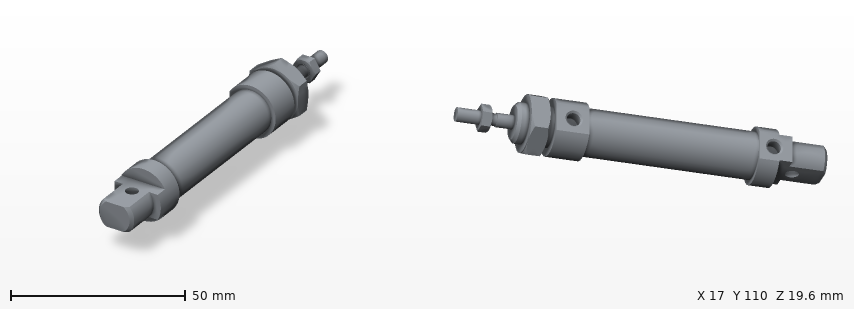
import cadquery as cq
import math


ROD_TIP_Y = 110.0
ROD_NUT_FRONT_Y = 103.0
ROD_NUT_BACK_Y = 100.0
UNDERCUT_BACK_Y = 98.0
COLLAR_FRONT_Y = 93.0
BODY_NUT_FRONT_Y = 89.8
BODY_NUT_BACK_Y = 84.0
FRONT_CAP_FRONT_Y = 82.1
FRONT_CAP_BACK_Y = 72.2
REAR_CAP_FRONT_Y = 21.1
REAR_CAP_SHOULDER_Y = 15.1
REAR_CAP_BACK_Y = 11.2

CAP_DIAMETER = 17.0
BARREL_DIAMETER = 14.1
COLLAR_DIAMETER = 12.1
END_CHAMFER = 1.0
PORT_FLAT_WIDTH = 8.8
PORT_FLAT_X = -math.sqrt((CAP_DIAMETER / 2) ** 2 - (PORT_FLAT_WIDTH / 2) ** 2)

TONGUE_DIAMETER = COLLAR_DIAMETER
TONGUE_THICKNESS = 8.2
PIVOT_HOLE_DIAMETER = 4.1
PIVOT_HOLE_Y = 9.1

PORT_DIAMETER = 4.1
PORT_MOUTH_DIAMETER = 5.2
PORT_DEPTH = 4.0
PORT_CHAMFER = (PORT_MOUTH_DIAMETER - PORT_DIAMETER) / 2
PORT_YS = (76.7, 16.5)

ROD_DIAMETER = 4.2
UNDERCUT_DIAMETER = 3.6

HEXAGON_FLATS_TO_CORNERS = math.cos(math.pi / 6)
ROD_NUT_CORNERS = 8.1
BODY_NUT_CORNERS = 19.6
NUT_CHAMFER_SLOPE = 0.6
ROD_NUT_BORE_CHAMFER = 0.2
ROUND_FACE_HEIGHT = 0.2
CORNERS_UP_TURN = 30
CORNERS_SIDEWAYS_TURN = 0


def cylinder(diameter, start_y, end_y):
    """Solid cylinder on the Y axis between two stations."""
    plane = cq.Workplane("XZ", origin=(0, start_y, 0))
    return plane.circle(diameter / 2).extrude(start_y - end_y)


def slab(thickness, start_y, end_y):
    """Plate centred on Z = 0, wider than the caps, between two stations."""
    length = end_y - start_y
    plate = cq.Workplane("XY").box(2 * CAP_DIAMETER, length, thickness)
    return plate.translate((0, start_y + length / 2, 0))


def make_port(port_y):
    """Cutter for one blind air port with a chamfered mouth."""
    plane = cq.Workplane("YZ", origin=(PORT_FLAT_X, port_y, 0))
    bore = plane.circle(PORT_DIAMETER / 2).extrude(PORT_DEPTH)
    mouth = cq.Solid.makeCone(
        PORT_MOUTH_DIAMETER / 2,
        PORT_DIAMETER / 2,
        PORT_CHAMFER,
        pnt=cq.Vector(PORT_FLAT_X, port_y, 0),
        dir=cq.Vector(1, 0, 0),
    )
    return bore.union(cq.Workplane(mouth))


def make_clevis():
    """Full-width plate behind the rear cap and the rounded tongue with its pivot hole."""
    plate = cylinder(CAP_DIAMETER, REAR_CAP_BACK_Y, REAR_CAP_SHOULDER_Y)
    tongue = cylinder(TONGUE_DIAMETER, 0, REAR_CAP_BACK_Y).faces("<Y").chamfer(END_CHAMFER)
    pivot_hole = (
        cq.Workplane("XY")
        .center(0, PIVOT_HOLE_Y)
        .circle(PIVOT_HOLE_DIAMETER / 2)
        .extrude(TONGUE_THICKNESS, both=True)
    )
    return plate.union(tongue).intersect(slab(TONGUE_THICKNESS, 0, REAR_CAP_SHOULDER_Y)).cut(pivot_hole)


def make_housing():
    """Barrel, both caps, the nose collar and the clevis, with the air ports."""
    barrel = cylinder(BARREL_DIAMETER, REAR_CAP_FRONT_Y, FRONT_CAP_BACK_Y)
    front_cap = cylinder(CAP_DIAMETER, FRONT_CAP_BACK_Y, FRONT_CAP_FRONT_Y)
    collar = cylinder(COLLAR_DIAMETER, FRONT_CAP_FRONT_Y, COLLAR_FRONT_Y).faces(">Y").chamfer(END_CHAMFER)
    rear_cap = cylinder(CAP_DIAMETER, REAR_CAP_SHOULDER_Y, REAR_CAP_FRONT_Y)

    housing = barrel.union(front_cap).union(collar).union(rear_cap).union(make_clevis())

    flat_cutter = (
        cq.Workplane("XY")
        .box(CAP_DIAMETER, ROD_TIP_Y, 2 * CAP_DIAMETER)
        .translate((PORT_FLAT_X - CAP_DIAMETER / 2, ROD_TIP_Y / 2, 0))
    )
    housing = housing.cut(flat_cutter)
    for port_y in PORT_YS:
        housing = housing.cut(make_port(port_y))
    return housing


def make_rod():
    """Piston rod from the collar face to the tip, with an undercut behind the thread."""
    shank = cylinder(ROD_DIAMETER, COLLAR_FRONT_Y, UNDERCUT_BACK_Y)
    undercut = cylinder(UNDERCUT_DIAMETER, UNDERCUT_BACK_Y, ROD_NUT_BACK_Y)
    thread = cylinder(ROD_DIAMETER, ROD_NUT_BACK_Y, ROD_TIP_Y)
    return shank.union(undercut).union(thread)


def make_nut(corner_diameter, bore_diameter, back_y, front_y, turn, chamfered_ends):
    """Hexagon nut turned about Y, its corners cut by a cone on the selected end faces."""
    plane = cq.Workplane("XZ", origin=(0, back_y, 0)).transformed(rotate=(0, 0, turn))
    hexagon = plane.polygon(6, corner_diameter).extrude(back_y - front_y)

    cone_width = corner_diameter * (1 - HEXAGON_FLATS_TO_CORNERS) / 2
    cone_length = cone_width * NUT_CHAMFER_SLOPE
    blank = cylinder(corner_diameter, back_y, front_y)
    envelope = blank.faces(chamfered_ends).chamfer(cone_length, cone_width)
    return hexagon.intersect(envelope).cut(cylinder(bore_diameter, back_y, front_y))


def make_rod_nut():
    """Nut on the rod thread, chamfered on its rear face and at the rear of its bore."""
    nut = make_nut(
        ROD_NUT_CORNERS, ROD_DIAMETER, ROD_NUT_BACK_Y, ROD_NUT_FRONT_Y, CORNERS_SIDEWAYS_TURN, "<Y"
    )
    bore_edge = nut.faces("<Y").edges(cq.selectors.RadiusNthSelector(0))
    return bore_edge.chamfer(ROD_NUT_BORE_CHAMFER)


def make_body_nut():
    """Mounting nut on the collar, with corners pointing up and down and a thin round face in front."""
    hexagon_front_y = BODY_NUT_FRONT_Y - ROUND_FACE_HEIGHT
    hexagon_nut = make_nut(
        BODY_NUT_CORNERS, COLLAR_DIAMETER, BODY_NUT_BACK_Y, hexagon_front_y, CORNERS_UP_TURN, "<Y or >Y"
    )
    round_face_diameter = BODY_NUT_CORNERS * HEXAGON_FLATS_TO_CORNERS
    round_face = cylinder(round_face_diameter, hexagon_front_y, BODY_NUT_FRONT_Y)
    bore = cylinder(COLLAR_DIAMETER, hexagon_front_y, BODY_NUT_FRONT_Y)
    return hexagon_nut.union(round_face.cut(bore))


housing = make_housing()
rod = make_rod()
rod_nut = make_rod_nut()
body_nut = make_body_nut()

result = cq.Compound.makeCompound([housing.val(), rod.val(), rod_nut.val(), body_nut.val()])